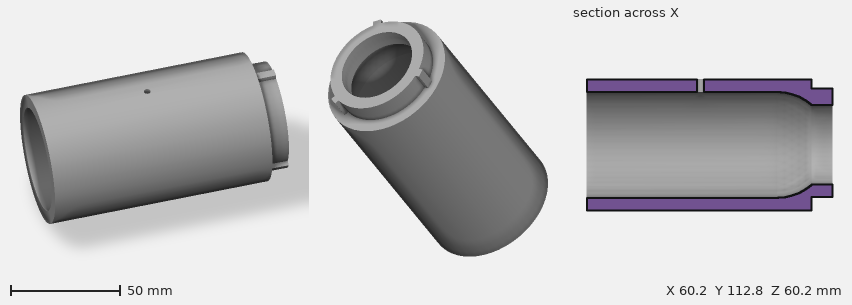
import cadquery as cq
import math

length = 112.8
body_diameter = 60.2
bore_diameter = 48.3
neck_bore_diameter = 36.2
spigot_diameter = 47.9
spigot_length = 9.6

key_count = 3
key_width = 4.0
key_tip_radius = 26.1

pin_hole_diameter = 3.0
pin_hole_distance = 52.1

body_length = length - spigot_length
bore_radius = bore_diameter / 2
neck_radius = neck_bore_diameter / 2

seat_depth = math.sqrt(bore_radius**2 - neck_radius**2)
seat_start = body_length - seat_depth


def make_sleeve():
    """Revolve the wall section, with its stepped outside and domed bore."""
    arc_angle = math.acos(neck_radius / bore_radius) / 2
    arc_middle = (
        bore_radius * math.cos(arc_angle),
        seat_start + bore_radius * math.sin(arc_angle),
    )
    section = (
        cq.Workplane("XY")
        .moveTo(bore_radius, 0)
        .lineTo(body_diameter / 2, 0)
        .lineTo(body_diameter / 2, body_length)
        .lineTo(spigot_diameter / 2, body_length)
        .lineTo(spigot_diameter / 2, length)
        .lineTo(neck_radius, length)
        .lineTo(neck_radius, body_length)
        .threePointArc(arc_middle, (bore_radius, seat_start))
        .close()
    )
    return section.revolve(360, (0, 0, 0), (0, 1, 0))


def make_key(angle):
    """Make one spigot key, turned about the sleeve axis from +Z."""
    root_radius = (neck_radius + spigot_diameter / 2) / 2
    key = cq.Workplane("XY").box(
        key_width, spigot_length, key_tip_radius - root_radius, centered=(True, False, False)
    )
    key = key.translate((0, body_length, root_radius))
    return key.rotate((0, 0, 0), (0, 1, 0), angle)


def make_pin_hole():
    """Make the radial hole through the top wall into the bore."""
    return (
        cq.Workplane("XY")
        .center(0, pin_hole_distance)
        .circle(pin_hole_diameter / 2)
        .extrude(body_diameter / 2)
    )


result = make_sleeve()
for index in range(key_count):
    result = result.union(make_key(index * 360 / key_count))
result = result.cut(make_pin_hole())